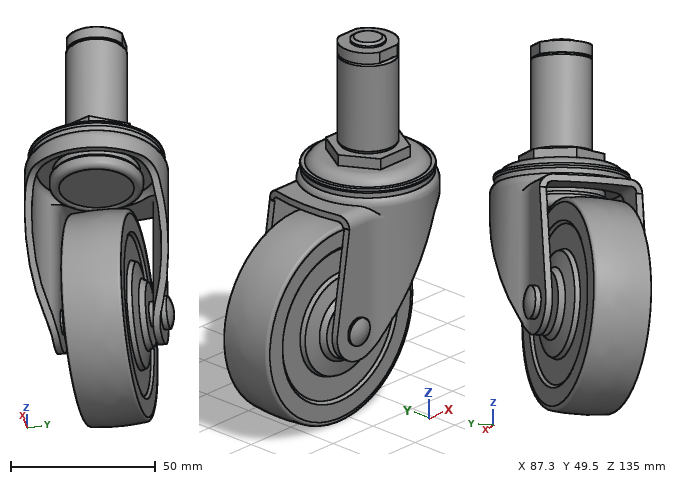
import cadquery as cq
import math


SWIVEL_X = 25.0
AXLE_R = 4.3
SHEET = 2.4
LEG_OUTER_Y = 18.9
SHAFT_R = 12.2
HEAD_R = 49.5 / 2
HEAD_TOP_Z = 46.8
NECK_R = 23.2

WHEEL_R = 37.5
TREAD_EDGE_R = 37.0
TREAD_EDGE_Y = 9.2
TREAD_CORNER_BULGE = 0.4
FACE_R = 35.4
FACE_Y = 10.4
FACE_INNER_R = 29.0
WEB_R = 28.0
WEB_Y = 9.5
HUB_BASE_R = 19.2
HUB_STEP_R = 18.5
HUB_STEP_Y = 11.2
HUB_CONE_R = 12.7
HUB_CONE_Y = 12.5
HUB_TIP_R = 11.2
HUB_TIP_Y = 14.6

HEAD_SHOULDER_Z = 43.7
HEAD_BOTTOM_Z = 39.2
BRIDGE_TOP_Z = 44.4
BRIDGE_BEND_R = 4.6
FLARE_R = 11.2
BRIDGE_LIP_X = -7.0
LEG_END_X = 0.5
LEG_END_R = 11.1
FRONT_LEAN = math.radians(9.0)
REAR_SLOPE = math.radians(60.0)
REAR_FILLET_R = 10.5

BIG_HEAD_R = 5.8
BIG_HEAD_EDGE_Y = 20.9
BIG_HEAD_TIP_Y = 22.5
SMALL_HEAD_R = 5.1
SMALL_HEAD_EDGE_Y = 19.7
SMALL_HEAD_TIP_Y = 21.0

TOP_Z = 135 - WHEEL_R
SLEEVE_R = 10.7
SLEEVE_FOOT_R = 10.0
SLEEVE_FOOT_Z = 58.7
SLEEVE_TOP_Z = 91.0
COLLAR_Z = 91.8
COLLAR_TOP_Z = 96.0
COLLAR_FLAT_Y = 9.7
SLEEVE_TIP_R = 9.7
BUTTON_R = 6.2
BUTTON_TOP_R = 5.0
BUTTON_EDGE_Z = 96.7
HEX_FLATS = 26.0
HEX_TURN = 30
HEX_TOP_Z = 57.6
CAP_TOP_Z = 53.6
CAP_FLAT_R = 16.7
CAP_BULGE_R = 20.1
CAP_BULGE_Z = 52.5
CAP_SHOULDER_R = 21.9
CAP_SHOULDER_Z = 50.4
RIM_R = 23.6
RIM_TOP_R = 23.4
RIM_Z = 49.5
NECK_TOP_Z = 48.7
RACE_R = 16.2
RACE_TOP_R = 15.1
RACE_TOP_Z = 42.1
RACE_EDGE_Z = 40.9
RACE_ROUND_Z = 38.7
RACE_BOTTOM_Z = 37.4
RACE_BOTTOM_R = 13.0


def mirrored(points):
    """Return the points of a (radius, y) outline reflected in y, in reverse order."""
    return [(r, -y) for r, y in reversed(points)]


def make_wheel():
    side = [
        (AXLE_R, HUB_TIP_Y),
        (HUB_TIP_R, HUB_TIP_Y),
        (HUB_CONE_R, HUB_CONE_Y),
        (HUB_STEP_R, HUB_STEP_Y),
        (HUB_BASE_R, WEB_Y),
        (WEB_R, WEB_Y),
        (FACE_INNER_R, FACE_Y),
        (FACE_R, FACE_Y),
    ]
    corner = (
        (FACE_R + TREAD_EDGE_R) / 2 + TREAD_CORNER_BULGE,
        (FACE_Y + TREAD_EDGE_Y) / 2 + TREAD_CORNER_BULGE,
    )
    profile = (
        cq.Workplane("XY")
        .polyline(side)
        .threePointArc(corner, (TREAD_EDGE_R, TREAD_EDGE_Y))
        .threePointArc((WHEEL_R, 0), (TREAD_EDGE_R, -TREAD_EDGE_Y))
        .threePointArc((corner[0], -corner[1]), (FACE_R, -FACE_Y))
    )
    for point in mirrored(side)[1:]:
        profile = profile.lineTo(*point)
    return profile.close().revolve(360, (0, 0), (0, 1))


def make_axle():
    def dome_midpoint(radius, edge_y, tip_y):
        """Point halfway out along the circular dome of an axle head."""
        rise = tip_y - edge_y
        dome_r = (radius ** 2 + rise ** 2) / (2 * rise)
        half = radius / 2
        return half, tip_y - dome_r + math.sqrt(dome_r ** 2 - half ** 2)

    big = dome_midpoint(BIG_HEAD_R, BIG_HEAD_EDGE_Y, BIG_HEAD_TIP_Y)
    small = dome_midpoint(SMALL_HEAD_R, SMALL_HEAD_EDGE_Y, SMALL_HEAD_TIP_Y)
    return (
        cq.Workplane("XY")
        .moveTo(0, BIG_HEAD_TIP_Y)
        .threePointArc(big, (BIG_HEAD_R, BIG_HEAD_EDGE_Y))
        .lineTo(BIG_HEAD_R, LEG_OUTER_Y)
        .lineTo(AXLE_R, LEG_OUTER_Y)
        .lineTo(AXLE_R, -LEG_OUTER_Y)
        .lineTo(SMALL_HEAD_R, -LEG_OUTER_Y)
        .lineTo(SMALL_HEAD_R, -SMALL_HEAD_EDGE_Y)
        .threePointArc((small[0], -small[1]), (0, -SMALL_HEAD_TIP_Y))
        .close()
        .revolve(360, (0, 0), (0, 1))
    )


def head_block(inset):
    """Domed head down to the leg ends, shrunk by inset on its top and side."""
    radius = HEAD_R - inset
    return (
        cq.Workplane("XZ", origin=(SWIVEL_X, 0, 0))
        .moveTo(0, -LEG_END_R)
        .lineTo(radius, -LEG_END_R)
        .lineTo(radius, HEAD_SHOULDER_Z - inset)
        .tangentArcPoint((NECK_R - inset, HEAD_TOP_Z - inset), relative=False)
        .lineTo(0, HEAD_TOP_Z - inset)
        .close()
        .revolve(360, (0, 0), (0, 1))
    )


def bridge_block(inset, front_x):
    """Flat-sided block of both legs and the bridge, flaring tangentially onto the head."""
    half_width = LEG_OUTER_Y - inset
    radius = HEAD_R - inset
    flare = FLARE_R + inset
    reach = radius + flare
    flare_y = half_width + flare
    flare_x = SWIVEL_X - math.sqrt(reach ** 2 - flare_y ** 2)
    turn = math.asin((SWIVEL_X - flare_x) / reach)
    join = (flare_x + flare * math.sin(turn), flare_y - flare * math.cos(turn))
    middle = (flare_x + flare * math.sin(turn / 2), flare_y - flare * math.cos(turn / 2))
    bend_y = LEG_OUTER_Y - BRIDGE_BEND_R
    side_edges = cq.selectors.BoxSelector(
        (front_x, bend_y, 0), (join[0], HEAD_R, HEAD_TOP_Z)
    ) + cq.selectors.BoxSelector(
        (front_x, -HEAD_R, 0), (join[0], -bend_y, HEAD_TOP_Z)
    )
    return (
        cq.Workplane("XY", origin=(0, 0, -LEG_END_R))
        .moveTo(front_x, half_width)
        .lineTo(flare_x, half_width)
        .threePointArc(middle, join)
        .lineTo(SWIVEL_X, 0)
        .lineTo(join[0], -join[1])
        .threePointArc((middle[0], -middle[1]), (flare_x, -half_width))
        .lineTo(front_x, -half_width)
        .close()
        .extrude(BRIDGE_TOP_Z - inset + LEG_END_R)
        .faces(">Z")
        .edges(side_edges)
        .fillet(BRIDGE_BEND_R - inset)
    )


def leg_front_x(z):
    """Front edge of the legs at height z."""
    return LEG_END_X - LEG_END_R / math.cos(FRONT_LEAN) + z * math.tan(FRONT_LEAN)


def leg_outline():
    """Both legs as seen along Y, from the rounded ends up to the bridge bend."""
    bend_z = BRIDGE_TOP_Z - BRIDGE_BEND_R
    front_tangent = (LEG_END_X - LEG_END_R * math.cos(FRONT_LEAN), LEG_END_R * math.sin(FRONT_LEAN))
    rear_tangent = (LEG_END_X + LEG_END_R * math.sin(REAR_SLOPE), -LEG_END_R * math.cos(REAR_SLOPE))
    corner_x = rear_tangent[0] + (HEAD_BOTTOM_Z - rear_tangent[1]) / math.tan(REAR_SLOPE)
    fillet_run = REAR_FILLET_R * math.tan(REAR_SLOPE / 2)
    fillet_start = (
        corner_x - fillet_run * math.cos(REAR_SLOPE),
        HEAD_BOTTOM_Z - fillet_run * math.sin(REAR_SLOPE),
    )
    head_end_x = SWIVEL_X + HEAD_R
    return (
        cq.Workplane("XZ")
        .moveTo(leg_front_x(bend_z), bend_z)
        .lineTo(*front_tangent)
        .threePointArc((LEG_END_X, -LEG_END_R), rear_tangent)
        .lineTo(*fillet_start)
        .tangentArcPoint((corner_x + fillet_run, HEAD_BOTTOM_Z), relative=False)
        .lineTo(head_end_x, HEAD_BOTTOM_Z)
        .lineTo(head_end_x, bend_z)
        .close()
        .extrude(HEAD_R, both=True)
    )


def crown_outline():
    """Region above the legs, with the bulged front edge of the bridge."""
    bend_z = BRIDGE_TOP_Z - BRIDGE_BEND_R
    front_x = leg_front_x(bend_z)
    head_end_x = SWIVEL_X + HEAD_R
    return (
        cq.Workplane("XY", origin=(0, 0, bend_z))
        .moveTo(front_x, -LEG_OUTER_Y)
        .threePointArc((BRIDGE_LIP_X, 0), (front_x, LEG_OUTER_Y))
        .lineTo(front_x, HEAD_R)
        .lineTo(head_end_x, HEAD_R)
        .lineTo(head_end_x, -HEAD_R)
        .lineTo(front_x, -HEAD_R)
        .close()
        .extrude(HEAD_TOP_Z - bend_z)
    )


def make_fork():
    front_x = LEG_END_X - LEG_END_R
    outside = head_block(0).union(bridge_block(0, front_x))
    inside = head_block(SHEET).union(bridge_block(SHEET, front_x - SHEET))
    trim = leg_outline().union(crown_outline())
    shaft_hole = cq.Workplane("XY").center(SWIVEL_X, 0).circle(SHAFT_R).extrude(HEAD_TOP_Z)
    return outside.cut(inside).intersect(trim).cut(shaft_hole).cut(make_axle())


def make_stem():
    head_underside_z = HEAD_TOP_Z - SHEET
    turned = (
        cq.Workplane("XZ", origin=(SWIVEL_X, 0, 0))
        .moveTo(0, TOP_Z)
        .lineTo(BUTTON_TOP_R, TOP_Z)
        .lineTo(BUTTON_R, BUTTON_EDGE_Z)
        .lineTo(BUTTON_R, COLLAR_TOP_Z)
        .lineTo(SLEEVE_R, COLLAR_TOP_Z)
        .lineTo(SLEEVE_R, COLLAR_Z)
        .lineTo(SLEEVE_TIP_R, COLLAR_Z)
        .lineTo(SLEEVE_R, SLEEVE_TOP_Z)
        .lineTo(SLEEVE_R, SLEEVE_FOOT_Z)
        .lineTo(SLEEVE_FOOT_R, HEX_TOP_Z)
        .lineTo(SLEEVE_FOOT_R, CAP_TOP_Z)
        .lineTo(CAP_FLAT_R, CAP_TOP_Z)
        .threePointArc((CAP_BULGE_R, CAP_BULGE_Z), (CAP_SHOULDER_R, CAP_SHOULDER_Z))
        .lineTo(RIM_TOP_R, CAP_SHOULDER_Z)
        .lineTo(RIM_R, RIM_Z)
        .lineTo(NECK_R, NECK_TOP_Z)
        .lineTo(NECK_R, HEAD_TOP_Z)
        .lineTo(SHAFT_R, HEAD_TOP_Z)
        .lineTo(SHAFT_R, head_underside_z)
        .lineTo(RACE_TOP_R, head_underside_z)
        .lineTo(RACE_TOP_R, RACE_TOP_Z)
        .lineTo(RACE_R, RACE_EDGE_Z)
        .lineTo(RACE_R, RACE_ROUND_Z)
        .tangentArcPoint((RACE_BOTTOM_R, RACE_BOTTOM_Z), relative=False)
        .lineTo(0, RACE_BOTTOM_Z)
        .close()
        .revolve(360, (0, 0), (0, 1))
    )
    hexagon = (
        cq.Workplane("XY", origin=(SWIVEL_X, 0, CAP_TOP_Z))
        .polygon(6, HEX_FLATS, circumscribed=True)
        .extrude(HEX_TOP_Z - CAP_TOP_Z)
        .rotate((SWIVEL_X, 0, 0), (SWIVEL_X, 0, 1), HEX_TURN)
    )
    stem = turned.union(hexagon)
    depth = SLEEVE_R - COLLAR_FLAT_Y
    for side in (-1, 1):
        flat = (
            cq.Workplane("XY", origin=(SWIVEL_X, side * (COLLAR_FLAT_Y + depth / 2), COLLAR_Z))
            .rect(2 * SLEEVE_R, depth)
            .extrude(COLLAR_TOP_Z - COLLAR_Z)
        )
        stem = stem.cut(flat)
    return stem


wheel = make_wheel()
axle = make_axle()
fork = make_fork()
stem = make_stem()

result = cq.Compound.makeCompound([
    wheel.val(),
    axle.val(),
    fork.solids().val(),
    stem.solids().val(),
])